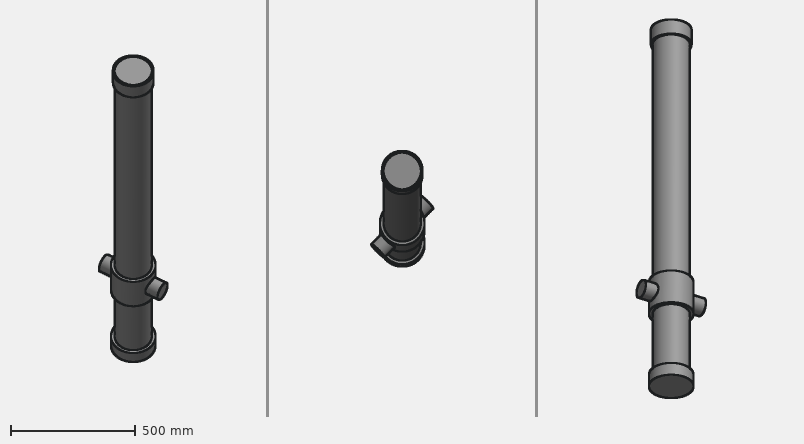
import cadquery as cq

total_height = 1685.0
barrel_diameter = 150.0

base_diameter = 180.0
base_height = 55.0
top_ring_diameter = 165.0
top_ring_height = 67.0

band_diameter = base_diameter
band_height = 150.0
trunnion_center_height = 418.0
trunnion_pin_diameter = 75.0
trunnion_span = 280.0


def cylinder(diameter, bottom, height):
    """Upright cylinder on the Z axis."""
    return cq.Workplane("XY").workplane(offset=bottom).circle(diameter / 2).extrude(height)


def ring_on_barrel(diameter, bottom, height):
    """Ring whose bore fits the barrel."""
    return cylinder(diameter, bottom, height).cut(cylinder(barrel_diameter, bottom, height))


def make_base_cap():
    """Plain disc that closes the lower end of the barrel."""
    return cylinder(base_diameter, 0, base_height)


def make_barrel():
    """Round barrel from the top of the base cap to the upper end."""
    return cylinder(barrel_diameter, base_height, total_height - base_height)


def make_top_ring():
    """Ring flush with the upper end of the barrel."""
    return ring_on_barrel(top_ring_diameter, total_height - top_ring_height, top_ring_height)


def make_trunnion():
    """Band with two coaxial pins along X, bored through for the barrel."""
    band_bottom = trunnion_center_height - band_height / 2
    band = cylinder(band_diameter, band_bottom, band_height)
    pins = (
        cq.Workplane("YZ", origin=(0, 0, trunnion_center_height))
        .circle(trunnion_pin_diameter / 2)
        .extrude(trunnion_span / 2, both=True)
    )
    bore = cylinder(barrel_diameter, band_bottom, band_height)
    return band.union(pins).cut(bore)


base_cap = make_base_cap()
barrel = make_barrel()
top_ring = make_top_ring()
trunnion = make_trunnion()

result = cq.Compound.makeCompound([base_cap.val(), barrel.val(), top_ring.val(), trunnion.val()])